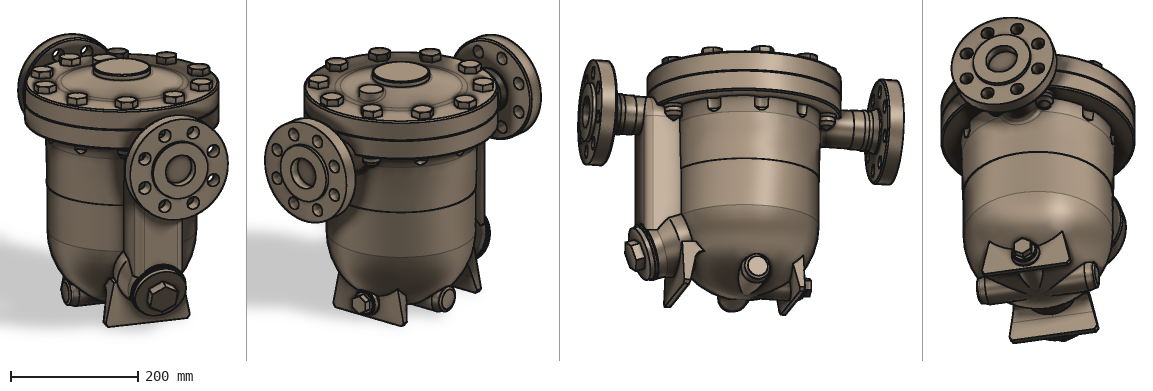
import cadquery as cq
import math


vessel_r = 117.5
sleeve_r_low = 118.5
sleeve_r_top = 120.0
collar_r = 122.0
dome_z = 121.5
sleeve_z = 197.0
collar_z = 274.0

joint_r = 152.5
joint_groove_depth = 2.5
joint_groove_height = 1.5
housing_flange_z = 299.0
joint_z = 330.5
cover_flange_z = 363.5
rim_chamfer = 2.5
bolt_count = 10
bolt_circle_r = 129.5
bolt_across_corners = 35.0
bolt_head_height = 11.0
bolt_head_top_r = 15.5
bolt_head_chamfer = 1.0
bolt_first_angle = 18.0
recess_r = 14.0
recess_end_z = 282.5
recess_tip_z = 265.0
stud_root_r = 16.0
stud_r = 14.0
stud_root_z = 294.0
stud_shoulder_z = 287.0
stud_end_r = 9.5
stud_end_z = 280.5
stud_tip_z = 274.0

crown_edge_r = 104.5
crown_cone_r = 96.0
crown_cone_z = 365.0
crown_neck_r = 48.5
crown_neck_z = 380.0
cap_r = 45.0
cap_top_z = 389.0
cap_chamfer = 2.0
vent_x = -74.5
vent_r = 19.0
vent_top_z = 382.0
vent_root_fillet = 3.0

pipe_z = 291.0
pipe_mid_x = 5.0
half_length = 250.0
face_step = 6.0
face_r = 46.0
pipe_flange_r = 82.5
pipe_flange_thickness = 25.5
pipe_flange_chamfer = 2.5
hub_root_r = 36.0
hub_root_at = 215.5
hub_end_at = 206.5
neck_r = 31.0
weld_at = 197.0
weld_half_length = 3.5
weld_height = 1.5
neck_end_at = 175.5
pipe_r = 30.0
bore_r = 25.0
bore_depth = 17.0
pipe_root_fillet = 10.0
pipe_bolt_count = 8
pipe_bolt_circle_r = 62.5
pipe_bolt_hole_r = 10.0

column_half_width = 40.0
column_end_x = 168.5
column_edge_fillet = 12.0
column_bottom_z = 93.0

boss_origin_z = 125.0
boss_tilt = 20.0
boss_root_r = 53.0
boss_r = 45.0
boss_cone_start = 127.0
boss_cone_end = 152.0
boss_end = 166.0
gasket_r = 42.5
gasket_thickness = 1.5
plug_flange_r = 45.0
plug_flange_thickness = 4.0
plug_land_r = 42.5
plug_land_end = 179.5
plug_hex_across_corners = 49.0
plug_hex_end = 195.0

drain_z = 27.0
drain_boss_r = 22.5
drain_boss_end = 84.0
drain_nose_r = 20.0
drain_nose_end = 90.0
drain_gasket_r = 18.0
drain_gasket_end = 94.0
drain_hex_across_corners = 30.0
drain_hex_end = 105.5

side_z = 28.0
side_boss_r = 23.5
side_taper_start = 80.5
side_taper_end = 90.0
side_nose_r = 20.5
side_shoulder = 93.0
side_face_r = 16.0
side_face = 95.5

foot_bottom_half_width = 71.0
foot_top_half_width = 58.5
foot_top_z = 65.0
foot_corner = 4.5
foot_corner_height = 6.0
front_foot_x = -82.0
front_foot_sole = 7.5
front_foot_top_thickness = 22.0
front_foot_ridge_z = 85.0
rear_foot_x = 113.0
rear_foot_sole = 9.0
rear_foot_shank = 16.0
rear_foot_shank_z = 29.0
rear_foot_arch = [(92.5, 46.0), (86.0, 55.5), (77.5, 57.0)]
rear_foot_inner = (60.0, 76.0)
rear_foot_top_z = 72.0


def revolved(points):
    """Turn an outline of (radius, height) points, given from axis to axis, about Z."""
    return cq.Workplane("XZ").polyline(points).close().revolve(360, (0, 0, 0), (0, 1, 0))


def polar_points(count, radius, first_angle):
    """Evenly spaced (x, y) points on a circle about the origin."""
    angles = [math.radians(first_angle + 360 / count * i) for i in range(count)]
    return [(radius * math.cos(a), radius * math.sin(a)) for a in angles]


def hexagon(across_corners, start, end):
    """Hexagonal prism along Z with two corners on the X axis."""
    return cq.Workplane("XY").workplane(offset=start).polygon(6, across_corners).extrude(end - start)


def make_vessel():
    """Hemispherical bottom, two stepped shells and the lower joint flange."""
    outline = (
        cq.Workplane("XZ")
        .moveTo(0, dome_z - vessel_r)
        .radiusArc((vessel_r, dome_z), -vessel_r)
        .lineTo(vessel_r, sleeve_z)
        .lineTo(sleeve_r_low, sleeve_z)
        .lineTo(sleeve_r_top, collar_z)
        .lineTo(collar_r, housing_flange_z)
        .lineTo(joint_r - rim_chamfer, housing_flange_z)
        .lineTo(joint_r, housing_flange_z + rim_chamfer)
        .lineTo(joint_r, joint_z)
        .lineTo(0, joint_z)
        .close()
    )
    return outline.revolve(360, (0, 0, 0), (0, 1, 0))


def make_column():
    """Upright passage with a round top that follows the outlet pipe."""
    crown_z = pipe_z + pipe_r - column_half_width
    profile = (
        cq.Workplane("YZ")
        .moveTo(-column_half_width, column_bottom_z)
        .lineTo(column_half_width, column_bottom_z)
        .lineTo(column_half_width, crown_z)
        .threePointArc((0, crown_z + column_half_width), (-column_half_width, crown_z))
        .close()
    )
    column = profile.extrude(column_end_x)
    return column.faces(">X").edges("not <Z").fillet(column_edge_fillet)


def make_pipe_end():
    """Pipe with a welded neck flange, from the part middle outwards along +Z."""
    flange_front = half_length - face_step
    flange_back = flange_front - pipe_flange_thickness
    outline = (
        cq.Workplane("XZ")
        .moveTo(0, 0)
        .lineTo(pipe_r, 0)
        .lineTo(pipe_r, neck_end_at)
        .lineTo(neck_r, neck_end_at)
        .lineTo(neck_r, weld_at - weld_half_length)
        .threePointArc((neck_r + weld_height, weld_at), (neck_r, weld_at + weld_half_length))
        .lineTo(neck_r, hub_end_at)
        .lineTo(hub_root_r, hub_root_at)
        .lineTo(hub_root_r, flange_back)
        .lineTo(pipe_flange_r - pipe_flange_chamfer, flange_back)
        .lineTo(pipe_flange_r, flange_back + pipe_flange_chamfer)
        .lineTo(pipe_flange_r, flange_front)
        .lineTo(face_r, flange_front)
        .lineTo(face_r, half_length)
        .lineTo(0, half_length)
        .close()
    )
    pipe = outline.revolve(360, (0, 0, 0), (0, 1, 0))
    bolt_holes = (
        cq.Workplane("XY")
        .workplane(offset=flange_back)
        .pushPoints(polar_points(pipe_bolt_count, pipe_bolt_circle_r, 180 / pipe_bolt_count))
        .circle(pipe_bolt_hole_r)
        .extrude(pipe_flange_thickness)
    )
    bore = cq.Workplane("XY").workplane(offset=half_length - bore_depth).circle(bore_r).extrude(bore_depth)
    return pipe.cut(bolt_holes).cut(bore)


def make_inclined_boss():
    """Boss, gasket and plug of the lower outlet, pointing down and to +X."""
    gasket_end = boss_end + gasket_thickness
    plug_flange_end = gasket_end + plug_flange_thickness
    boss = revolved([
        (0, 0),
        (boss_root_r, 0),
        (boss_root_r, boss_cone_start),
        (boss_r, boss_cone_end),
        (boss_r, boss_end),
        (gasket_r, boss_end),
        (gasket_r, gasket_end),
        (plug_flange_r, gasket_end),
        (plug_flange_r, plug_flange_end),
        (plug_land_r, plug_flange_end),
        (plug_land_r, plug_land_end),
        (0, plug_land_end),
    ])
    boss = boss.union(hexagon(plug_hex_across_corners, plug_land_end, plug_hex_end))
    return boss.rotate((0, 0, 0), (0, 1, 0), 90 + boss_tilt).translate((0, 0, boss_origin_z))


def make_drain():
    """Drain boss with its hexagon plug, along -X."""
    drain = revolved([
        (0, 0),
        (drain_boss_r, 0),
        (drain_boss_r, drain_boss_end),
        (drain_nose_r, drain_nose_end),
        (drain_gasket_r, drain_nose_end),
        (drain_gasket_r, drain_gasket_end),
        (0, drain_gasket_end),
    ])
    drain = drain.union(hexagon(drain_hex_across_corners, drain_gasket_end, drain_hex_end))
    return drain.rotate((0, 0, 0), (0, 1, 0), -90).translate((0, 0, drain_z))


def make_side_boss(direction):
    """Closed round boss along +Y (direction 1) or -Y (direction -1)."""
    boss = revolved([
        (0, 0),
        (side_boss_r, 0),
        (side_boss_r, side_taper_start),
        (side_nose_r, side_taper_end),
        (side_nose_r, side_shoulder),
        (side_face_r, side_face),
        (0, side_face),
    ])
    return boss.rotate((0, 0, 0), (1, 0, 0), -90 * direction).translate((0, 0, side_z))


def trim_foot(foot):
    """Taper a foot plate across Y and chamfer its bottom corners."""
    width_per_height = (foot_bottom_half_width - foot_top_half_width) / (foot_top_z - foot_corner_height)
    reach_half_width = foot_bottom_half_width - width_per_height * (dome_z - foot_corner_height)
    half = [
        (foot_bottom_half_width - foot_corner, 0),
        (foot_bottom_half_width, foot_corner_height),
        (reach_half_width, dome_z),
    ]
    mirrored = [(-y, z) for y, z in reversed(half)]
    span = rear_foot_x - front_foot_x
    mask = cq.Workplane("YZ").workplane(offset=front_foot_x).polyline(half + mirrored).close().extrude(span)
    return foot.intersect(mask)


def make_front_foot():
    """Plate foot at the inlet side, with an upright outer face."""
    profile = cq.Workplane("XZ").polyline([
        (front_foot_x, 0),
        (front_foot_x + front_foot_sole, 0),
        (front_foot_x + front_foot_top_thickness, foot_top_z),
        (front_foot_x, front_foot_ridge_z),
    ]).close()
    return trim_foot(profile.extrude(foot_bottom_half_width, both=True))


def make_rear_foot():
    """Plate foot at the outlet side, arched into the dome and the inclined boss."""
    profile = (
        cq.Workplane("XZ")
        .moveTo(rear_foot_x, 0)
        .lineTo(rear_foot_x - rear_foot_sole, 0)
        .lineTo(rear_foot_x - rear_foot_shank, rear_foot_shank_z)
        .spline(rear_foot_arch, includeCurrent=True)
        .lineTo(*rear_foot_inner)
        .lineTo(rear_foot_x, rear_foot_top_z)
        .close()
    )
    return trim_foot(profile.extrude(foot_bottom_half_width, both=True))


def make_recesses():
    """Spot faces with conical ends, cut into the vessel below the joint flange."""
    recess = revolved([
        (0, recess_tip_z),
        (recess_r, recess_end_z),
        (recess_r, housing_flange_z),
        (0, housing_flange_z),
    ])
    points = polar_points(bolt_count, bolt_circle_r, bolt_first_angle)
    return [recess.translate((x, y, 0)) for x, y in points]


def make_studs():
    """Pointed bolt ends below the flange on both sides of each pipe."""
    stud = revolved([
        (0, stud_tip_z),
        (stud_end_r, stud_end_z),
        (stud_r, stud_shoulder_z),
        (stud_r, stud_root_z),
        (stud_root_r, housing_flange_z),
        (0, housing_flange_z),
    ])
    x = bolt_circle_r * math.cos(math.radians(bolt_first_angle))
    y = bolt_circle_r * math.sin(math.radians(bolt_first_angle))
    return [stud.translate((sx * x, sy * y, 0)) for sx in (-1, 1) for sy in (-1, 1)]


def make_housing():
    """Vessel with its pipes, column, bosses, plugs and feet."""
    housing = make_vessel()
    for side in (-1, 1):
        pipe_end = make_pipe_end().rotate((0, 0, 0), (0, 1, 0), 90 * side)
        housing = housing.union(pipe_end.translate((pipe_mid_x, 0, pipe_z)))
    inlet_root = cq.selectors.BoxSelector(
        (-vessel_r - 15, -pipe_r - 5, pipe_z - pipe_r - 5),
        (-vessel_r + 15, pipe_r + 5, housing_flange_z - 5),
    )
    housing = housing.edges(inlet_root).fillet(pipe_root_fillet)
    for recess in make_recesses():
        housing = housing.cut(recess)
    additions = [make_column(), make_inclined_boss(), make_drain(), make_side_boss(-1), make_side_boss(1)]
    for addition in additions + [make_front_foot(), make_rear_foot()] + make_studs():
        housing = housing.union(addition)
    return housing


def make_bolt_head():
    """Hexagon head with its top corners bevelled."""
    head_top_z = cover_flange_z + bolt_head_height
    bevel_r = bolt_across_corners / 2
    bevel = revolved([
        (0, cover_flange_z),
        (bevel_r, cover_flange_z),
        (bevel_r, head_top_z - bolt_head_chamfer),
        (bolt_head_top_r, head_top_z),
        (0, head_top_z),
    ])
    return hexagon(bolt_across_corners, cover_flange_z, head_top_z).intersect(bevel)


def make_cover():
    """Conical cover with its cap, vent boss and bolt heads."""
    groove_r = joint_r - joint_groove_depth
    cover = revolved([
        (0, joint_z),
        (groove_r, joint_z),
        (groove_r, joint_z + joint_groove_height),
        (joint_r, joint_z + joint_groove_height),
        (joint_r, cover_flange_z - rim_chamfer),
        (joint_r - rim_chamfer, cover_flange_z),
        (crown_edge_r, cover_flange_z),
        (crown_cone_r, crown_cone_z),
        (crown_neck_r, crown_neck_z),
        (cap_r, crown_neck_z),
        (cap_r, cap_top_z - cap_chamfer),
        (cap_r - cap_chamfer, cap_top_z),
        (0, cap_top_z),
    ])
    vent_base = cq.Workplane("XY", origin=(vent_x, 0, cover_flange_z))
    vent = vent_base.circle(vent_r).extrude(vent_top_z - cover_flange_z)
    vent_root = cq.selectors.BoxSelector(
        (vent_x - vent_r, -vent_r, cover_flange_z),
        (vent_x + vent_r, vent_r, crown_neck_z),
    )
    cover = cover.union(vent)
    cover = cover.edges(vent_root).fillet(vent_root_fillet)
    head = make_bolt_head().rotate((0, 0, 0), (0, 0, 1), 90).translate((bolt_circle_r, 0, 0))
    for i in range(bolt_count):
        angle = bolt_first_angle + 360 / bolt_count * i
        cover = cover.union(head.rotate((0, 0, 0), (0, 0, 1), angle))
    return cover


housing = make_housing()
cover = make_cover()

result = cq.Compound.makeCompound([housing.val(), cover.val()])